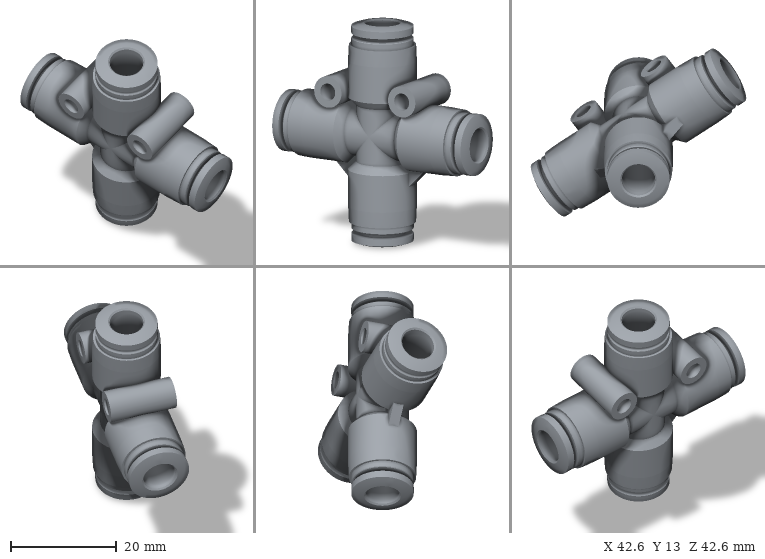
import cadquery as cq


arm_length = 21.3
button_radius = 5.9
button_rim = 20.75
button_back = 19.4
dome_mid_radius = 4.75
dome_mid = 21.15
neck_radius = 4.17
neck_flare = 0.15
neck_flare_end = 19.05

collar_front = 18.5
collar_chamfer = 0.13
body_radius = 6.495
body_front = 17.13
body_front_radius = 6.35
body_taper_mid_radius = 6.455
body_taper_end = 14.05
body_back = 7.0
core_radius = 5.0
cone_end = body_back - (body_radius - core_radius)

passage_radius = 2.49
tube_radius = 3.175
tube_stop = body_back
mouth_chamfer = 0.3

lug_offset = 8.15
lug_radius = 3.005
lug_hole_radius = 1.64
lug_length = 2 * body_radius
web_thickness = 2.0
web_reach = 16.0

arm_angles = (0, 90, 180, 270)
mouth_radius = tube_radius + mouth_chamfer


def turn(shape, angle):
    return shape.rotate((0, 0, 0), (0, 1, 0), angle)


def make_arm():
    """Solid arm along +Z, revolved from its half profile."""
    taper_mid = (body_front + body_taper_end) / 2
    profile = (
        cq.Workplane("XZ")
        .lineTo(core_radius, 0)
        .lineTo(core_radius, cone_end)
        .lineTo(body_radius, body_back)
        .lineTo(body_radius, body_taper_end)
        .threePointArc((body_taper_mid_radius, taper_mid), (body_front_radius, body_front))
        .lineTo(button_radius, body_front)
        .lineTo(button_radius, collar_front - collar_chamfer)
        .lineTo(button_radius - collar_chamfer, collar_front)
        .lineTo(neck_radius, collar_front)
        .lineTo(neck_radius, neck_flare_end)
        .lineTo(neck_radius + neck_flare, button_back)
        .lineTo(button_radius, button_back)
        .lineTo(button_radius, button_rim)
        .threePointArc((dome_mid_radius, dome_mid), (mouth_radius, arm_length))
        .lineTo(0, arm_length)
        .close()
    )
    return profile.revolve(360, (0, 0), (0, 1))


def make_bore():
    """Stepped bore along +Z with a chamfered mouth."""
    profile = (
        cq.Workplane("XZ")
        .lineTo(passage_radius, 0)
        .lineTo(passage_radius, tube_stop)
        .lineTo(tube_radius, tube_stop)
        .lineTo(tube_radius, arm_length - mouth_chamfer)
        .lineTo(mouth_radius, arm_length)
        .lineTo(0, arm_length)
        .close()
    )
    return profile.revolve(360, (0, 0), (0, 1))


def make_web():
    """Web filling the corner between +X and +Z, with its edge at 45 degrees."""
    outer = web_reach - core_radius
    return (
        cq.Workplane("XZ")
        .lineTo(outer, 0)
        .lineTo(outer, core_radius)
        .lineTo(core_radius, outer)
        .lineTo(0, outer)
        .close()
        .extrude(web_thickness / 2, both=True)
    )


def make_lug_cylinders(radius):
    """Pair of cylinders along Y at the two upper lug positions."""
    return (
        cq.Workplane("XZ")
        .pushPoints([(-lug_offset, lug_offset), (lug_offset, lug_offset)])
        .circle(radius)
        .extrude(lug_length / 2, both=True)
    )


arm = make_arm()
web = make_web()
body = arm
for angle in arm_angles[1:]:
    body = body.union(turn(arm, angle))
for angle in arm_angles:
    body = body.union(turn(web, angle))
body = body.union(make_lug_cylinders(lug_radius))

bore = make_bore()
for angle in arm_angles:
    body = body.cut(turn(bore, angle))
result = body.cut(make_lug_cylinders(lug_hole_radius))